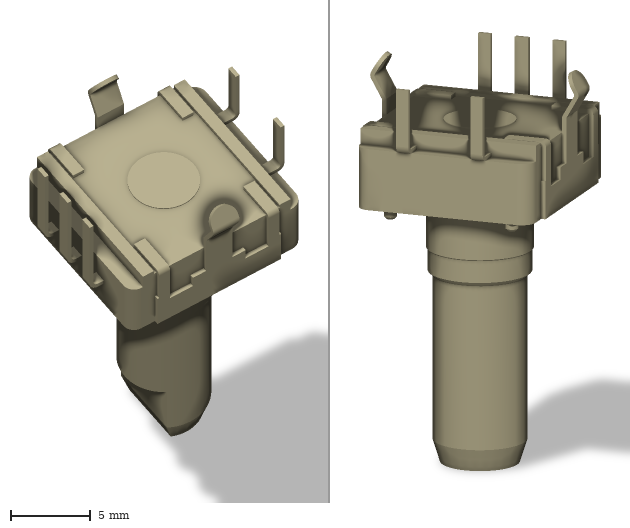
import cadquery as cq
import math


body_width = 11.8
body_back_y = 6.63
body_front_y = -6.55
ledge_height = 3.98
back_corner_radius = 0.9
front_corner_radius = 0.8

rail_height = 5.0
rail_outer_y = 5.62
rail_width = 0.83
top_height = 4.7
rivet_diameter = 4.58
rivet_height = 0.08

collar_diameter = 6.79
collar_depth = 3.61
collar_chamfer = 0.08
neck_diameter = 6.6
neck_depth = 5.33
neck_chamfer = 0.29
shaft_diameter = 5.98
shaft_depth = 17.5
shaft_flat_y = -1.5
shaft_flat_depth = 12.5
tip_length = 1.48
tip_inset = 0.47

peg_diameter = 0.83
peg_length = 0.83
peg_chamfer = 0.15
peg_x = 4.08
peg_y = 5.1

sheet = 0.29
skirt_half = 4.7
skirt_height = 2.47
arm_outer_y = 4.58
arm_inner_y = 3.75
arm_tip_x = 3.38
arm_bend_radius = 0.35
window_sill = 1.9
shoulder_height = 2.7
shoulder_half = 2.0

hook_width = 2.0
hook_outer_x = 7.0
hook_knee_height = 7.18
hook_knee_radius = 0.47
hook_top = 8.5
hook_angle = math.radians(30)

terminal_width = 0.83
middle_terminal_width = 0.9
terminal_pitch = 2.5
terminal_top = 8.2
terminal_thickness = 0.29
front_terminal_y = -7.62
front_terminal_z = 1.98
front_terminal_bend = 0.65
back_terminal_y = 7.18
back_terminal_bend = 0.52

side_x = body_width / 2
bracket_x = side_x + sheet
hook_half = hook_width / 2


def block(x_min, x_max, y_min, y_max, z_min, z_max):
    size = (x_max - x_min, y_max - y_min, z_max - z_min)
    return cq.Workplane("XY").box(*size, centered=False).translate((x_min, y_min, z_min))


def make_body():
    base = block(-side_x, side_x, body_front_y, body_back_y, 0, ledge_height)
    base = base.edges("|Z and >Y").fillet(back_corner_radius)
    base = base.edges("|Z and <Y").fillet(front_corner_radius)
    raised = block(-side_x, side_x, -rail_outer_y, rail_outer_y, 0, rail_height)
    channel_half = rail_outer_y - rail_width
    channel = block(-side_x, side_x, -channel_half, channel_half, top_height, rail_height)
    rivet = cq.Workplane("XY").circle(rivet_diameter / 2).extrude(top_height + rivet_height)
    return base.union(raised.cut(channel)).union(rivet)


def make_shaft():
    shaft_radius = shaft_diameter / 2
    bushing = cq.Workplane("XY").circle(collar_diameter / 2).extrude(-collar_depth)
    bushing = bushing.faces("<Z").chamfer(collar_chamfer)
    neck = cq.Workplane("XY").circle(neck_diameter / 2).extrude(-neck_depth)
    neck = neck.faces("<Z").chamfer(neck_chamfer)
    tip_start = shaft_depth - tip_length
    shaft = cq.Workplane("XY").circle(shaft_radius).extrude(-tip_start)
    flat = block(-shaft_radius, shaft_radius, -shaft_radius, shaft_flat_y, -tip_start, -shaft_flat_depth)
    tip_taper = math.degrees(math.atan(tip_inset / tip_length))
    shaft = shaft.cut(flat).faces("<Z").wires().toPending().workplane().extrude(tip_length, taper=tip_taper)
    return bushing.union(neck).union(shaft)


def make_pegs():
    peg_places = [(x, y) for x in (-peg_x, peg_x) for y in (-peg_y, peg_y)]
    pegs = cq.Workplane("XY").pushPoints(peg_places).circle(peg_diameter / 2).extrude(-peg_length)
    return pegs.faces("<Z").chamfer(peg_chamfer)


def make_side_sheet():
    """Flat sheet on the +X side, with the two arms that fold over the top of the body."""
    back_half = [
        (skirt_half, 0),
        (skirt_half, skirt_height),
        (arm_outer_y, skirt_height),
        (arm_outer_y, rail_height),
        (arm_inner_y, rail_height),
        (arm_inner_y, window_sill),
        (shoulder_half, window_sill),
        (shoulder_half, shoulder_height),
        (hook_half, shoulder_height),
    ]
    front_half = [(-y, z) for y, z in reversed(back_half)]
    outline = back_half + front_half
    sheet_side = cq.Workplane("YZ", origin=(side_x, 0, 0)).polyline(outline).close().extrude(sheet)
    for y_min in (arm_inner_y, -arm_outer_y):
        y_max = y_min + arm_outer_y - arm_inner_y
        arm = block(arm_tip_x, bracket_x, y_min, y_max, top_height, rail_height)
        sheet_side = sheet_side.union(arm)
    bend_edges = cq.selectors.BoxSelector(
        (bracket_x - sheet / 2, -skirt_half, rail_height - sheet / 2),
        (bracket_x + sheet / 2, skirt_half, rail_height + sheet / 2),
    )
    return sheet_side.edges(bend_edges).fillet(arm_bend_radius)


def make_hook():
    """Spring hook on the +X side: it leans out, turns at a knee and leans back in to a round tip."""
    lean_x = math.cos(hook_angle)
    lean_z = math.sin(hook_angle)
    knee_center_x = hook_outer_x - hook_knee_radius
    inner_radius = hook_knee_radius - sheet

    outer_end_x = knee_center_x + hook_knee_radius * lean_x
    outer_low_z = hook_knee_height - hook_knee_radius * lean_z
    outer_high_z = hook_knee_height + hook_knee_radius * lean_z
    inner_end_x = knee_center_x + inner_radius * lean_x
    inner_low_z = hook_knee_height - inner_radius * lean_z
    inner_high_z = hook_knee_height + inner_radius * lean_z

    outer_root_z = outer_low_z - (outer_end_x - bracket_x) / math.tan(hook_angle)
    inner_root_z = outer_root_z + sheet * math.tan(hook_angle / 2)
    stem = (
        cq.Workplane("XZ")
        .moveTo(side_x, window_sill)
        .lineTo(bracket_x, window_sill)
        .lineTo(bracket_x, outer_root_z)
        .lineTo(outer_end_x, outer_low_z)
        .threePointArc((hook_outer_x, hook_knee_height), (outer_end_x, outer_high_z))
        .lineTo(inner_end_x, inner_high_z)
        .threePointArc((knee_center_x + inner_radius, hook_knee_height), (inner_end_x, inner_low_z))
        .lineTo(side_x, inner_root_z)
        .close()
        .extrude(hook_half, both=True)
    )

    tip_plane = cq.Plane(
        origin=(outer_end_x, 0, outer_high_z),
        xDir=(0, 1, 0),
        normal=(lean_x, 0, lean_z),
    )
    tip_reach = (hook_top - outer_high_z) / math.cos(hook_angle)
    tip = (
        cq.Workplane(tip_plane)
        .moveTo(-hook_half, 0)
        .lineTo(hook_half, 0)
        .lineTo(hook_half, tip_reach - hook_half)
        .threePointArc((0, tip_reach), (-hook_half, tip_reach - hook_half))
        .close()
        .extrude(-sheet)
    )
    return stem.union(tip)


def make_terminal(x, width, outer_y, root_y, bottom_z, bend_radius):
    """L-shaped terminal that leaves the body at root_y and turns up at outer_y."""
    inner_y = outer_y - math.copysign(terminal_thickness, outer_y)
    leg_top_z = bottom_z + terminal_thickness
    profile = [
        (root_y, bottom_z),
        (outer_y, bottom_z),
        (outer_y, terminal_top),
        (inner_y, terminal_top),
        (inner_y, leg_top_z),
        (root_y, leg_top_z),
    ]
    terminal = cq.Workplane("YZ", origin=(x, 0, 0)).polyline(profile).close().extrude(width / 2, both=True)
    outer_bend = cq.selectors.NearestToPointSelector((x, outer_y, bottom_z))
    inner_bend = cq.selectors.NearestToPointSelector((x, inner_y, leg_top_z))
    terminal = terminal.edges("|X").edges(inner_bend).fillet(bend_radius - terminal_thickness)
    return terminal.edges("|X").edges(outer_bend).fillet(bend_radius)


result = make_body().union(make_shaft()).union(make_pegs())

bracket_side = make_side_sheet().union(make_hook())
result = result.union(bracket_side).union(bracket_side.mirror("YZ"))

for x, width in (
    (-terminal_pitch, terminal_width),
    (0, middle_terminal_width),
    (terminal_pitch, terminal_width),
):
    result = result.union(
        make_terminal(x, width, front_terminal_y, body_front_y, front_terminal_z, front_terminal_bend)
    )

for x in (-terminal_pitch, terminal_pitch):
    result = result.union(
        make_terminal(x, terminal_width, back_terminal_y, rail_outer_y, ledge_height, back_terminal_bend)
    )